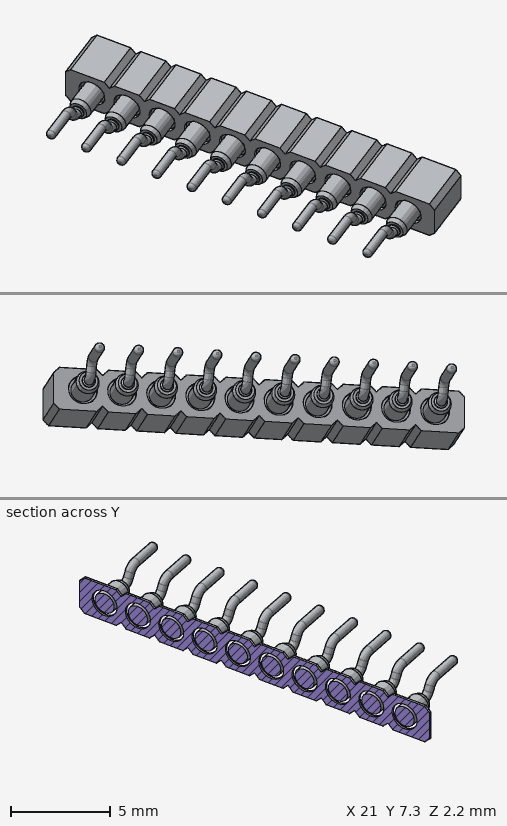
import cadquery as cq
import math

contact_count = 10
length = 21.0
pitch = 2.0
height = 2.2
housing_depth = 2.81
overall_depth = 7.3
notch = 0.3

recess_radius = 0.74
recess_depth = 0.2

sleeve_radius = 0.59
sleeve_length = 1.2
sleeve_tip_radius = 0.48
sleeve_tip_length = 0.25

collar_radius = 0.34
collar_length = 0.06
collar_taper_length = 0.06

pin_radius = 0.25
pin_tip_rounding = 0.19
bend_radius = 0.57
bend_angle = math.radians(60)

pin_rise = height / 2 - pin_radius
pin_end = housing_depth - overall_depth
sleeve_end = -(sleeve_length + sleeve_tip_length)
bend_start = sleeve_end - collar_length - collar_taper_length
contact_positions = [(i - (contact_count - 1) / 2) * pitch for i in range(contact_count)]


def make_housing():
    """Bar with chamfered ends, a V groove between neighbours and a recess per contact."""
    bar = (
        cq.Workplane("XY")
        .box(length, housing_depth, height, centered=(True, False, True))
        .edges("|Y")
        .chamfer(notch)
    )
    groove_positions = [x + pitch / 2 for x in contact_positions[:-1]]
    for x in groove_positions:
        for side in (1, -1):
            surface = side * height / 2
            groove = (
                cq.Workplane("XZ")
                .polyline([(x - notch, surface), (x + notch, surface), (x, surface - side * notch)])
                .close()
                .extrude(-housing_depth)
            )
            bar = bar.cut(groove)
    recesses = (
        cq.Workplane("XZ")
        .pushPoints([(x, 0) for x in contact_positions])
        .circle(recess_radius)
        .extrude(-recess_depth)
    )
    return bar.cut(recesses)


def make_sleeve():
    """Turned sleeve from the recess floor to the end of the collar taper, about the Y axis."""
    profile = [
        (0, recess_depth),
        (sleeve_radius, recess_depth),
        (sleeve_radius, -sleeve_length),
        (sleeve_tip_radius, sleeve_end),
        (collar_radius, sleeve_end),
        (collar_radius, sleeve_end - collar_length),
        (pin_radius, bend_start),
        (0, bend_start),
    ]
    return cq.Workplane("XY").polyline(profile).close().revolve(360, (0, 0), (0, 1))


def make_pin():
    """Round pin swept along two opposite arcs joined by a sloping straight, with a rounded tip."""
    def arc_offset(angle):
        return bend_radius * math.sin(angle), bend_radius * (1 - math.cos(angle))

    mid_run, mid_rise = arc_offset(bend_angle / 2)
    arc_run, arc_rise = arc_offset(bend_angle)
    slope_rise = pin_rise - 2 * arc_rise
    slope_run = slope_rise / math.tan(bend_angle)
    bend_end = bend_start - 2 * arc_run - slope_run

    path = (
        cq.Workplane("YZ")
        .moveTo(bend_start, 0)
        .threePointArc((bend_start - mid_run, mid_rise), (bend_start - arc_run, arc_rise))
        .lineTo(bend_end + arc_run, pin_rise - arc_rise)
        .threePointArc((bend_end + mid_run, pin_rise - mid_rise), (bend_end, pin_rise))
        .lineTo(pin_end, pin_rise)
    )
    pin = cq.Workplane("XZ", origin=(0, bend_start, 0)).circle(pin_radius).sweep(path)
    return pin.faces("<Y").edges().fillet(pin_tip_rounding)


contact = make_sleeve().union(make_pin())
result = make_housing()
for contact_x in contact_positions:
    result = result.union(contact.translate((contact_x, 0, 0)))